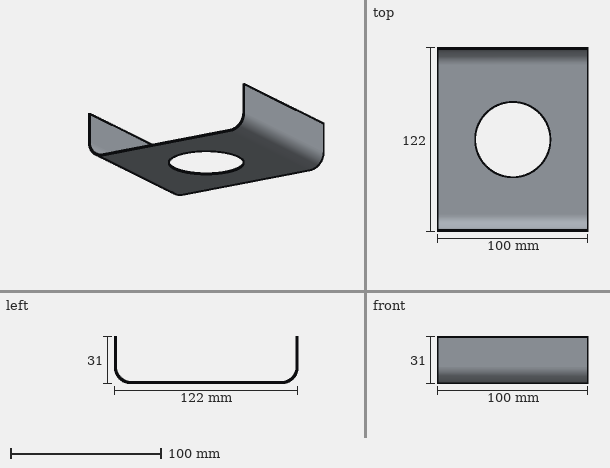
import cadquery as cq

length = 100.0
flat_width = 100.0
wall_height = 20.0
thickness = 1.0
inner_radius = 10.0
hole_diameter = 50.0

outer_radius = inner_radius + thickness
overall_width = flat_width + 2 * outer_radius
overall_height = outer_radius + wall_height


def bent_block(width, bottom, radius):
    """Solid block from the given bottom up to the wall tops, with rounded lower long edges."""
    block = cq.Workplane("XY").workplane(offset=bottom).rect(length, width).extrude(overall_height - bottom)
    return block.edges("|X and <Z").fillet(radius)


def bent_channel():
    """U-shaped sheet: the outer block with the inner block removed."""
    outside = bent_block(overall_width, 0, outer_radius)
    inside = bent_block(overall_width - 2 * thickness, thickness, inner_radius)
    return outside.cut(inside)


def base_hole():
    """Cylinder for the opening through the base."""
    return cq.Workplane("XY").circle(hole_diameter / 2).extrude(thickness)


result = bent_channel().cut(base_hole())